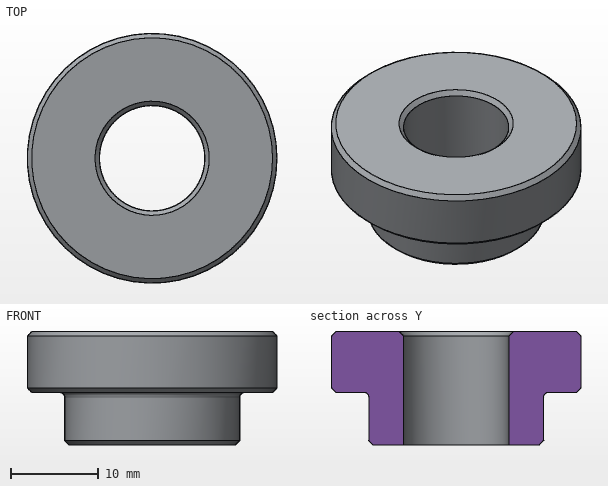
import cadquery as cq

flange_diameter = 28.57
hub_diameter = 20.05
bore_diameter = 12.03
total_height = 13.0
flange_height = 7.0
edge_chamfer = 0.5
neck_fillet = 0.5

hub_height = total_height - flange_height

hub = (
    cq.Workplane("XY")
    .circle(hub_diameter / 2)
    .extrude(hub_height)
    .faces("<Z")
    .chamfer(edge_chamfer)
)

flange = (
    cq.Workplane("XY")
    .workplane(offset=hub_height)
    .circle(flange_diameter / 2)
    .extrude(flange_height)
    .edges()
    .chamfer(edge_chamfer)
)

body = hub.union(flange)
neck_reach = hub_diameter / 2 + neck_fillet / 2
neck_edge = cq.selectors.BoxSelector(
    (-neck_reach, -neck_reach, hub_height - neck_fillet / 2),
    (neck_reach, neck_reach, hub_height + neck_fillet / 2),
    boundingbox=True,
)
body = body.edges(neck_edge).fillet(neck_fillet)

bore = cq.Workplane("XY").circle(bore_diameter / 2).extrude(total_height)
countersink = (
    cq.Workplane("XY")
    .workplane(offset=total_height - edge_chamfer)
    .circle(bore_diameter / 2)
    .workplane(offset=edge_chamfer)
    .circle(bore_diameter / 2 + edge_chamfer)
    .loft()
)

result = body.cut(bore).cut(countersink)